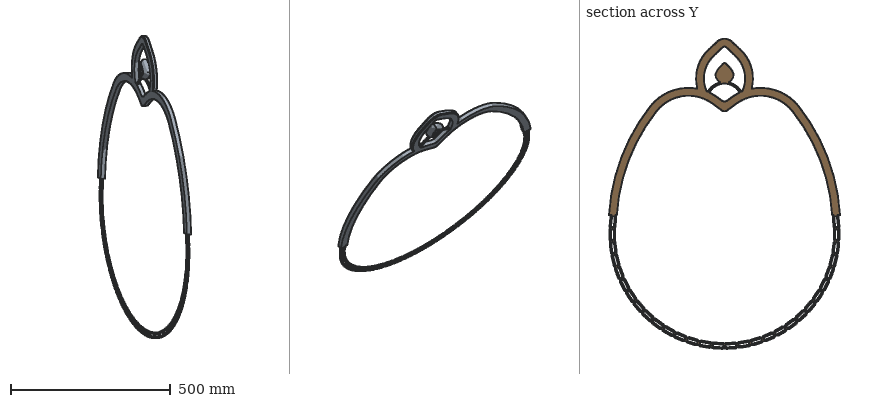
import cadquery as cq
import math


BAR_WIDTH = 25.0
BAR_THICKNESS = 15.0
HALF_WIDTH = BAR_WIDTH / 2

HUMP_X = -113.0
HUMP_Z = 246.0
HUMP_RADIUS = 140.0
SIDE_RADIUS = 597.0
JOIN_ANGLE = math.radians(141.8)
DIP_ANGLE = math.radians(53.8)
DIP_FILLET = 15.0

LEAF_CENTRE_X = 33.0
LEAF_CENTRE_Z = 428.0
LEAF_RADIUS = 110.0
FLANK_ANGLE = math.radians(46.5)
TIP_RADIUS = 21.0
LEAF_BASE_Z = 377.0
LEAF_EDGE_CHAMFER = 3.0

WIRE_RADIUS = 3.0
ARCH_RADIUS = 57.0
ARCH_TOP_Z = 414.0
ARCH_END_ANGLE = math.radians(22)

GEM_RADIUS = 29.0
GEM_CENTRE_Z = 441.0
GEM_TIP_Z = 477.0
GEM_SIDE_POINT = (18.0, 460.0)
GEM_THICKNESS = 24.0
GEM_EDGE_RADIUS = 11.0
TABLE_INSET = 13.0
TABLE_DEPTH = 4.0
TABLE_TAPER = 45

LINK_COUNT = 30
LINK_WIDTH = 19.0
LINK_OVERLAP = 5.0
CHAIN_RADIUS = 352.0
CHAIN_CENTRE_Z = -58.0
LINK_ANGLE = math.radians(6.63)


def polar(centre, radius, angle):
    """Point at an angle, measured from +X, on a circle in the XZ plane."""
    return (centre[0] + radius * math.cos(angle), centre[1] + radius * math.sin(angle))


def plate(outline, thickness):
    """Extrude a closed XZ outline equally to both sides of Y = 0."""
    return outline.extrude(thickness / 2, both=True)


def mirrored(point):
    """The same XZ point on the other side of X = 0."""
    return (-point[0], point[1])



hump_centre = (HUMP_X, HUMP_Z)
side_centre = polar(hump_centre, HUMP_RADIUS - SIDE_RADIUS, JOIN_ANGLE)


def bar_edge_points(offset):
    """Points from the lower end to the middle of a bar edge, offset outward from the centreline."""
    side_radius = SIDE_RADIUS + offset
    hump_radius = HUMP_RADIUS + offset
    end_angle = math.pi + math.asin(side_centre[1] / side_radius)
    dip_start = polar(hump_centre, hump_radius, DIP_ANGLE)
    return {
        "end": polar(side_centre, side_radius, end_angle),
        "side": polar(side_centre, side_radius, (end_angle + JOIN_ANGLE) / 2),
        "join": polar(hump_centre, hump_radius, JOIN_ANGLE),
        "hump": polar(hump_centre, hump_radius, (JOIN_ANGLE + DIP_ANGLE) / 2),
        "dip_start": dip_start,
        "middle": (0, dip_start[1] + dip_start[0] / math.tan(DIP_ANGLE)),
    }


def make_half_bar():
    outer = bar_edge_points(HALF_WIDTH)
    inner = bar_edge_points(-HALF_WIDTH)
    outline = (
        cq.Workplane("XZ")
        .moveTo(*outer["end"])
        .threePointArc(outer["side"], outer["join"])
        .threePointArc(outer["hump"], outer["dip_start"])
        .lineTo(*outer["middle"])
        .lineTo(*inner["middle"])
        .lineTo(*inner["dip_start"])
        .threePointArc(inner["hump"], inner["join"])
        .threePointArc(inner["side"], inner["end"])
        .close()
    )
    return plate(outline, BAR_THICKNESS)


def make_bar():
    half = make_half_bar()
    bar = half.union(half.mirror("YZ")).clean()
    dip_z = bar_edge_points(0)["middle"][1]
    dip_box = cq.selectors.BoxSelector(
        (-HALF_WIDTH, -BAR_THICKNESS, dip_z - BAR_WIDTH),
        (HALF_WIDTH, BAR_THICKNESS, dip_z + BAR_WIDTH),
    )
    return bar.edges("|Y").edges(dip_box).fillet(DIP_FILLET)



def leaf_outline(offset):
    """Leaf outline, offset outward from the centreline, with a straight base inside the bar."""
    side_radius = LEAF_RADIUS + offset
    tip_radius = TIP_RADIUS + offset
    centre = (-LEAF_CENTRE_X, LEAF_CENTRE_Z)
    tip_rise = LEAF_RADIUS - TIP_RADIUS - LEAF_CENTRE_X * math.cos(FLANK_ANGLE)
    tip_centre = (0, LEAF_CENTRE_Z + tip_rise / math.sin(FLANK_ANGLE))
    base_angle = math.asin((LEAF_BASE_Z - LEAF_CENTRE_Z) / side_radius)
    base = polar(centre, side_radius, base_angle)
    side = polar(centre, side_radius, (base_angle + FLANK_ANGLE) / 2)
    flank_start = polar(centre, side_radius, FLANK_ANGLE)
    flank_end = polar(tip_centre, tip_radius, FLANK_ANGLE)
    top = (0, tip_centre[1] + tip_radius)
    return (
        cq.Workplane("XZ")
        .moveTo(*base)
        .threePointArc(side, flank_start)
        .lineTo(*flank_end)
        .threePointArc(top, mirrored(flank_end))
        .lineTo(*mirrored(flank_start))
        .threePointArc(mirrored(side), mirrored(base))
        .close()
    )


def make_leaf():
    body = plate(leaf_outline(HALF_WIDTH), BAR_THICKNESS)
    rim = body.faces("<Y or >Y").edges("not <Z")
    body = rim.chamfer(LEAF_EDGE_CHAMFER)
    opening = plate(leaf_outline(-HALF_WIDTH), BAR_THICKNESS)
    return body.cut(opening)



def make_arch():
    centre = (0, ARCH_TOP_Z - ARCH_RADIUS)
    start = polar(centre, ARCH_RADIUS, ARCH_END_ANGLE)
    top = (0, ARCH_TOP_Z)
    path = cq.Workplane("XZ").moveTo(*start).threePointArc(top, mirrored(start))
    tangent = (-math.sin(ARCH_END_ANGLE), 0, math.cos(ARCH_END_ANGLE))
    section = cq.Plane(origin=(start[0], 0, start[1]), xDir=(0, 1, 0), normal=tangent)
    return cq.Workplane(section).circle(WIRE_RADIUS).sweep(path)


def teardrop():
    shoulder = (GEM_RADIUS, GEM_CENTRE_Z)
    return (
        cq.Workplane("XZ")
        .moveTo(0, GEM_TIP_Z)
        .threePointArc(GEM_SIDE_POINT, shoulder)
        .threePointArc((0, GEM_CENTRE_Z - GEM_RADIUS), mirrored(shoulder))
        .threePointArc(mirrored(GEM_SIDE_POINT), (0, GEM_TIP_Z))
        .close()
    )


def make_gem():
    gem = plate(teardrop(), GEM_THICKNESS)
    gem = gem.faces("<Y or >Y").edges().fillet(GEM_EDGE_RADIUS)
    recess = teardrop().offset2D(-TABLE_INSET).extrude(-TABLE_DEPTH, taper=TABLE_TAPER)
    recess = recess.translate((0, -GEM_THICKNESS / 2, 0))
    return gem.cut(recess).cut(recess.mirror("XZ"))



def make_link():
    """One link along X: a round wire bent into a slot shape."""
    link_length = 2 * CHAIN_RADIUS * math.sin(LINK_ANGLE / 2) + LINK_OVERLAP
    end_radius = LINK_WIDTH / 2 - WIRE_RADIUS
    half_straight = link_length / 2 - LINK_WIDTH / 2
    end_tip = half_straight + end_radius
    path = (
        cq.Workplane("XZ")
        .moveTo(0, end_radius)
        .lineTo(half_straight, end_radius)
        .threePointArc((end_tip, 0), (half_straight, -end_radius))
        .lineTo(-half_straight, -end_radius)
        .threePointArc((-end_tip, 0), (-half_straight, end_radius))
        .close()
    )
    return cq.Workplane("YZ").center(0, end_radius).circle(WIRE_RADIUS).sweep(path)


def make_chain_links():
    link = make_link()
    chord_distance = CHAIN_RADIUS * math.cos(LINK_ANGLE / 2)
    links = []
    for index in range(LINK_COUNT):
        turn = (index - (LINK_COUNT - 1) / 2) * LINK_ANGLE
        placed = link.translate((0, 0, -chord_distance))
        placed = placed.rotate((0, 0, 0), (0, 1, 0), math.degrees(turn))
        links.append(placed.translate((0, 0, CHAIN_CENTRE_Z)).val())
    return links


frame = make_bar().union(make_leaf()).union(make_arch()).union(make_gem())
result = cq.Workplane(frame.val().fuse(*make_chain_links()))